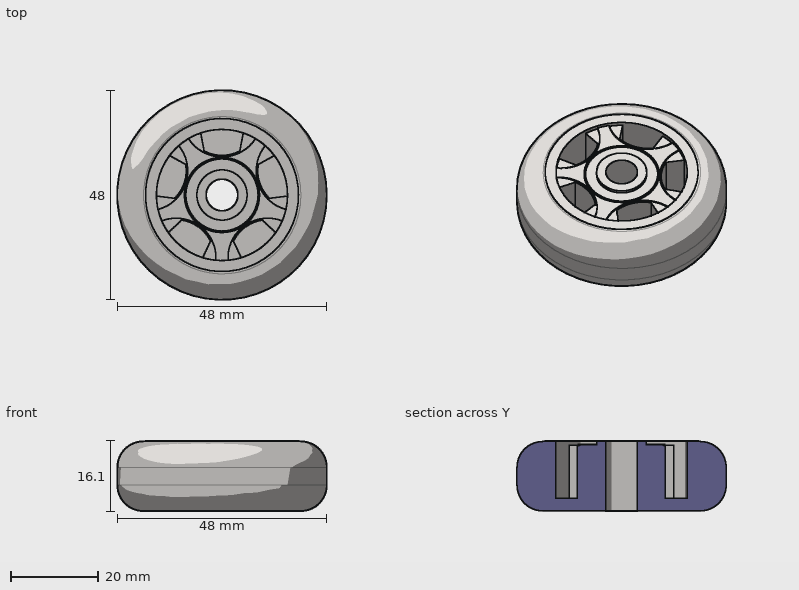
import cadquery as cq
import math

TYRE_DIAMETER = 48.0
TYRE_WIDTH = 16.0
TYRE_EDGE_RADIUS = 6.0

HUB_DIAMETER = 35.0
HUB_RISE = 0.1
RECESS_DIAMETER = 30.0
WEB_DEPTH = 0.8

GROOVE_DIAMETER = 17.2
GROOVE_DEPTH = 0.1
BEARING_DIAMETER = 16.5
BOSS_DIAMETER = 11.5
BOSS_HEIGHT = 0.7
BORE_DIAMETER = 7.2

WINDOW_COUNT = 5
SCALLOP_RADIUS = 9.1
SCALLOP_INNER_REACH = 8.7
LEDGE_DEPTH = 0.25
LEDGE_WIDTH = 0.35
WINDOW_CORNER_HALF_WIDTH = 4.08
WINDOW_SIDE_ANGLE = 10.8
WINDOW_FLOOR_THICKNESS = 3.0

tyre_top = TYRE_WIDTH / 2
tyre_bottom = -tyre_top
hub_top = tyre_top + HUB_RISE
web_top = hub_top - WEB_DEPTH
groove_floor = web_top - GROOVE_DEPTH
boss_top = tyre_top
bearing_top = boss_top - BOSS_HEIGHT
ledge_top = web_top - LEDGE_DEPTH
window_floor = tyre_bottom + WINDOW_FLOOR_THICKNESS
scallop_centre = SCALLOP_INNER_REACH + SCALLOP_RADIUS


def disc(diameter, bottom, top):
    """Solid cylinder on the wheel axis between two heights."""
    return cq.Workplane("XY").workplane(offset=bottom).circle(diameter / 2).extrude(top - bottom)


def make_body():
    """Turned wheel body: rounded tyre, raised hub face, recess, groove, bearing face, boss and bore."""
    tyre_radius = TYRE_DIAMETER / 2
    shoulder_radius = tyre_radius - TYRE_EDGE_RADIUS
    shoulder_height = tyre_top - TYRE_EDGE_RADIUS
    arc_middle_radius = shoulder_radius + TYRE_EDGE_RADIUS * math.sqrt(0.5)
    arc_middle_height = shoulder_height + TYRE_EDGE_RADIUS * math.sqrt(0.5)
    profile = (
        cq.Workplane("XZ")
        .moveTo(BORE_DIAMETER / 2, tyre_bottom)
        .lineTo(shoulder_radius, tyre_bottom)
        .threePointArc((arc_middle_radius, -arc_middle_height), (tyre_radius, -shoulder_height))
        .lineTo(tyre_radius, shoulder_height)
        .threePointArc((arc_middle_radius, arc_middle_height), (shoulder_radius, tyre_top))
        .lineTo(HUB_DIAMETER / 2, tyre_top)
        .lineTo(HUB_DIAMETER / 2, hub_top)
        .lineTo(RECESS_DIAMETER / 2, hub_top)
        .lineTo(RECESS_DIAMETER / 2, web_top)
        .lineTo(GROOVE_DIAMETER / 2, web_top)
        .lineTo(GROOVE_DIAMETER / 2, groove_floor)
        .lineTo(BEARING_DIAMETER / 2, groove_floor)
        .lineTo(BEARING_DIAMETER / 2, bearing_top)
        .lineTo(BOSS_DIAMETER / 2, bearing_top)
        .lineTo(BOSS_DIAMETER / 2, boss_top)
        .lineTo(BORE_DIAMETER / 2, boss_top)
        .close()
    )
    return profile.revolve(360, (0, 0, 0), (0, 1, 0))


def make_scallop():
    """Cutter for the shallow round ledge on the +Y side, reaching past the recess wall."""
    return (
        cq.Workplane("XY")
        .workplane(offset=ledge_top)
        .center(0, scallop_centre)
        .circle(SCALLOP_RADIUS)
        .extrude(hub_top - ledge_top)
    )


def make_window():
    """Cutter for the deep +Y pocket: arc toward the hub and flared sides reaching past the recess wall."""
    arc_radius = SCALLOP_RADIUS - LEDGE_WIDTH
    inner_y = scallop_centre - arc_radius
    corner_x = WINDOW_CORNER_HALF_WIDTH
    corner_y = scallop_centre - math.sqrt(arc_radius**2 - corner_x**2)
    outer_y = scallop_centre
    outer_x = corner_x + (outer_y - corner_y) * math.tan(math.radians(WINDOW_SIDE_ANGLE))
    return (
        cq.Workplane("XY")
        .workplane(offset=window_floor)
        .moveTo(-corner_x, corner_y)
        .threePointArc((0, inner_y), (corner_x, corner_y))
        .lineTo(outer_x, outer_y)
        .lineTo(-outer_x, outer_y)
        .close()
        .extrude(hub_top - window_floor)
    )


def make_wheel():
    """Wheel with a recessed five-spoke hub and a central bearing boss."""
    wheel = make_body()
    recess_space = disc(RECESS_DIAMETER, window_floor, hub_top)
    for cutter in (make_scallop(), make_window()):
        for index in range(WINDOW_COUNT):
            turned = cutter.rotate((0, 0, 0), (0, 0, 1), index * 360 / WINDOW_COUNT)
            wheel = wheel.cut(recess_space.intersect(turned))
    return wheel


result = make_wheel()